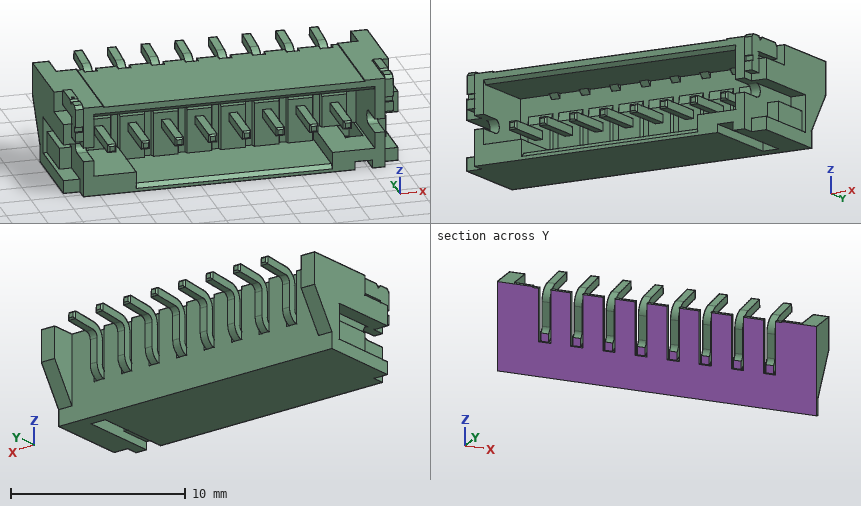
import cadquery as cq
import math


WIDTH = 19.9
BODY_DEPTH = 5.99
BODY_TOP = 5.41
SHOULDER_TOP = 5.47
SHOULDER_INNER_X = 7.76
WALL_OUTER_X = 8.97
WALL_INNER_X = 8.35

BACK_WALL_Y = 4.2
CEILING_Z = 4.8
FLOOR_Z = 0.44
LEDGE_Z = 1.21
LEDGE_INNER_X = 5.83
LIP_CHAMFER = 0.24

WING_FRONT_Y = 0.8
WING_BACK_Y = 7.6
WING_SLOPE_TOP_Z = 3.46
WING_SLOPE_BOTTOM_Z = 1.03
WINDOW_BACK_Y = 5.27
WINDOW_BOTTOM_Z = 0.8
WINDOW_TOP_Z = 3.0
PAD_FRONT_Y = 2.59
PAD_TOP_Z = 2.09
PAD_OUTER_X = 9.71
TAB_SEAT_Z = 4.25
LATCH_SLOT_BOTTOM_Z = 2.17
LATCH_SLOT_END_Y = 1.8

PIN_COUNT = 8
PIN_ROW_SPAN = 14.0
PITCH = PIN_ROW_SPAN / (PIN_COUNT - 1)
PIN_SIZE = 0.5
PIN_Z = 2.4
PIN_FRONT_Y = 0.94
PIN_REAR_Y = 8.62
PIN_TIP_CHAMFER = 0.1
PIN_INNER_BEND = 0.4
FOOT_TILT = 5.0
FOOT_TIP_TOP_Z = 5.6

BOSS_WIDTH = 1.61
BOSS_TOP_Z = 3.66
BOSS_DEPTH = 0.22
BOSS_SIDE_INSET = 0.08
BOSS_TOP_DROP = 0.55
GUSSET_WIDTH = 0.55
GUSSET_LEG = 0.3
PIN_SLOT_WIDTH = 0.74
PIN_SLOT_DEPTH = 0.4

KEY_INNER_X = 7.18
KEY_OUTER_X = 8.22
KEY_GROOVE_HEIGHT = 0.5
KEY_OPENING_FRONT_Y = 2.09
KEY_BACK_Y = 5.17

TAB_OUTER_X = 9.45
TAB_BACK_Y = 2.89
TAB_TOP_Z = 5.61
TAB_ARM_BOTTOM_Z = 4.68
TAB_LEG_BOTTOM_Z = 3.42
TAB_LEG_DEPTH = WING_FRONT_Y
TAB_CHAMFER = 0.2
TAB_VEE_Y = 1.0
TAB_VEE_DEPTH = 0.2
TAB_GROOVE_BOTTOM_Z = 4.0
TAB_GROOVE_TOP_Z = 4.32
TAB_GROOVE_DEPTH = 0.14
TAB_PIT_Y = 1.45
TAB_PIT_SIZE = 0.14
TAB_PIT_DEPTH = 0.1

pin_xs = [(i - (PIN_COUNT - 1) / 2) * PITCH for i in range(PIN_COUNT)]
gap_xs = [x + PITCH / 2 for x in pin_xs[:-1]]


def block(x0, x1, y0, y1, z0, z1):
    """Box between two opposite corners."""
    return cq.Workplane("XY").box(x1 - x0, y1 - y0, z1 - z0, centered=False).translate((x0, y0, z0))


def side_prism(points, x0, x1):
    """Outline of (y, z) points extruded from x0 to x1."""
    return cq.Workplane("YZ", origin=(x0, 0, 0)).polyline(points).close().extrude(x1 - x0)


def mirrored(solid):
    """The shape of the -X end together with its copy at the +X end."""
    return solid.union(solid.mirror("YZ"))


def shell():
    """Main block with its raised shoulders."""
    body = block(-WALL_OUTER_X, WALL_OUTER_X, 0, BODY_DEPTH, 0, BODY_TOP)
    shoulder = block(-WALL_OUTER_X, -SHOULDER_INNER_X, 0, BODY_DEPTH, 0, SHOULDER_TOP)
    return body.union(mirrored(shoulder))


def left_wing():
    """End wing with its window, pad and the step under the solder tab."""
    outline = [
        (WING_FRONT_Y, 0),
        (BODY_DEPTH, 0),
        (BODY_DEPTH, WING_SLOPE_BOTTOM_Z),
        (WING_BACK_Y, WING_SLOPE_TOP_Z),
        (WING_BACK_Y, SHOULDER_TOP),
        (TAB_BACK_Y, SHOULDER_TOP),
        (TAB_BACK_Y, TAB_SEAT_Z),
        (WING_FRONT_Y, TAB_SEAT_Z),
    ]
    outer = -WIDTH / 2
    wing = side_prism(outline, outer, -WALL_OUTER_X)
    window = block(outer, -WALL_OUTER_X, WING_FRONT_Y, WINDOW_BACK_Y, WINDOW_BOTTOM_Z, WINDOW_TOP_Z)
    pad = block(-PAD_OUTER_X, -WALL_OUTER_X, PAD_FRONT_Y, WINDOW_BACK_Y, WINDOW_BOTTOM_Z, PAD_TOP_Z)
    return wing.cut(window).union(pad)


def mouth():
    """Cavity open to the front, deeper between the two ledges."""
    upper = [
        (0, LEDGE_Z),
        (BACK_WALL_Y, LEDGE_Z),
        (BACK_WALL_Y, CEILING_Z),
        (LIP_CHAMFER, CEILING_Z),
        (0, CEILING_Z + LIP_CHAMFER),
    ]
    lower = [
        (0, FLOOR_Z - LIP_CHAMFER),
        (LIP_CHAMFER, FLOOR_Z),
        (BACK_WALL_Y, FLOOR_Z),
        (BACK_WALL_Y, LEDGE_Z),
        (0, LEDGE_Z),
    ]
    channel = side_prism(lower, -LEDGE_INNER_X, LEDGE_INNER_X)
    return side_prism(upper, -WALL_INNER_X, WALL_INNER_X).union(channel)


def left_latch_slot():
    """Round-ended slot through the side wall, open to the front."""
    radius = (WINDOW_TOP_Z - LATCH_SLOT_BOTTOM_Z) / 2
    arc_y = LATCH_SLOT_END_Y - radius
    return (
        cq.Workplane("YZ", origin=(-WALL_OUTER_X, 0, 0))
        .moveTo(0, LATCH_SLOT_BOTTOM_Z)
        .lineTo(arc_y, LATCH_SLOT_BOTTOM_Z)
        .threePointArc((LATCH_SLOT_END_Y, LATCH_SLOT_BOTTOM_Z + radius), (arc_y, WINDOW_TOP_Z))
        .lineTo(0, WINDOW_TOP_Z)
        .close()
        .extrude(WALL_OUTER_X - WALL_INNER_X)
    )


def boss(x):
    """Drafted boss on the back wall around one pin."""
    half = BOSS_WIDTH / 2
    front_y = BACK_WALL_Y - BOSS_DEPTH
    side = [
        (BACK_WALL_Y, FLOOR_Z),
        (front_y, FLOOR_Z),
        (front_y, BOSS_TOP_Z - BOSS_TOP_DROP),
        (BACK_WALL_Y, BOSS_TOP_Z),
    ]
    plan = [
        (x - half, BACK_WALL_Y),
        (x - half + BOSS_SIDE_INSET, front_y),
        (x + half - BOSS_SIDE_INSET, front_y),
        (x + half, BACK_WALL_Y),
    ]
    column = cq.Workplane("XY").polyline(plan).close().extrude(BOSS_TOP_Z)
    return side_prism(side, x - half, x + half).intersect(column)


def gusset(x):
    """Small 45-degree gusset between ceiling and back wall."""
    corner = [
        (BACK_WALL_Y, CEILING_Z),
        (BACK_WALL_Y - GUSSET_LEG, CEILING_Z),
        (BACK_WALL_Y, CEILING_Z - GUSSET_LEG),
    ]
    return side_prism(corner, x - GUSSET_WIDTH / 2, x + GUSSET_WIDTH / 2)


def pin_slot(x):
    """Slot in the back face that clears the lower bend of one pin."""
    half = PIN_SLOT_WIDTH / 2
    floor_z = PIN_Z - PIN_SIZE / 2
    return block(x - half, x + half, BODY_DEPTH - PIN_SLOT_DEPTH, BODY_DEPTH, floor_z, BODY_TOP)


def pin(x):
    """Square pin: contact, bend up behind the body, bend back into a tilted foot."""
    half = PIN_SIZE / 2
    bend = PIN_INNER_BEND + half
    tilt = math.radians(FOOT_TILT)
    tilt_cos = math.cos(tilt)
    tilt_sin = math.sin(tilt)
    leg_y = BODY_DEPTH + half
    tip_y = PIN_REAR_Y - (half - PIN_TIP_CHAMFER) * tilt_sin
    tip_z = FOOT_TIP_TOP_Z - half * tilt_cos + PIN_TIP_CHAMFER * tilt_sin
    foot_y = leg_y + bend * (1 - tilt_sin)
    foot_z = tip_z - (tip_y - foot_y) * math.tan(tilt)
    leg_top_z = foot_z - bend * tilt_cos
    path = (
        cq.Workplane("YZ", origin=(x, 0, 0))
        .moveTo(PIN_FRONT_Y, PIN_Z)
        .lineTo(leg_y - bend, PIN_Z)
        .tangentArcPoint((leg_y, PIN_Z + bend), relative=False)
        .lineTo(leg_y, leg_top_z)
        .tangentArcPoint((foot_y, foot_z), relative=False)
        .lineTo(tip_y, tip_z)
    )
    bar = cq.Workplane("XZ", origin=(x, PIN_FRONT_Y, PIN_Z)).rect(PIN_SIZE, PIN_SIZE).sweep(path)
    return bar.faces("<Y or >Y").edges().chamfer(PIN_TIP_CHAMFER)


def key_passage():
    """Groove under the +X ledge that leads to an opening up through the ledge."""
    outline = [
        (0, 0),
        (KEY_BACK_Y, 0),
        (KEY_BACK_Y, LEDGE_Z),
        (KEY_OPENING_FRONT_Y, LEDGE_Z),
        (KEY_OPENING_FRONT_Y, KEY_GROOVE_HEIGHT),
        (0, KEY_GROOVE_HEIGHT),
    ]
    return side_prism(outline, KEY_INNER_X, KEY_OUTER_X)


def make_housing():
    body = shell().union(mirrored(left_wing()))
    body = body.cut(mouth()).cut(mirrored(left_latch_slot()))
    for x in gap_xs:
        body = body.union(gusset(x))
    for x in pin_xs:
        body = body.union(boss(x)).cut(pin_slot(x)).union(pin(x))
    return body.cut(key_passage())


def make_left_tab():
    """L-shaped tab: arm on the side wall, leg down along the front edge."""
    outline = [
        (0, TAB_LEG_BOTTOM_Z),
        (0, TAB_GROOVE_BOTTOM_Z),
        (TAB_GROOVE_DEPTH, TAB_GROOVE_BOTTOM_Z),
        (TAB_GROOVE_DEPTH, TAB_GROOVE_TOP_Z),
        (0, TAB_GROOVE_TOP_Z),
        (0, TAB_TOP_Z - TAB_CHAMFER),
        (TAB_CHAMFER, TAB_TOP_Z),
        (TAB_VEE_Y - TAB_VEE_DEPTH, TAB_TOP_Z),
        (TAB_VEE_Y, TAB_TOP_Z - TAB_VEE_DEPTH),
        (TAB_VEE_Y + TAB_VEE_DEPTH, TAB_TOP_Z),
        (TAB_BACK_Y - TAB_CHAMFER, TAB_TOP_Z),
        (TAB_BACK_Y, TAB_TOP_Z - TAB_CHAMFER),
        (TAB_BACK_Y, TAB_ARM_BOTTOM_Z),
        (TAB_LEG_DEPTH, TAB_ARM_BOTTOM_Z),
        (TAB_LEG_DEPTH, TAB_LEG_BOTTOM_Z),
    ]
    return side_prism(outline, -TAB_OUTER_X, -WALL_OUTER_X)


def tab_pit():
    """Tiny square mark sunk into the top of the -X tab."""
    tab_x = -(TAB_OUTER_X + WALL_OUTER_X) / 2
    half = TAB_PIT_SIZE / 2
    floor_z = TAB_TOP_Z - TAB_PIT_DEPTH
    return block(tab_x - half, tab_x + half, TAB_PIT_Y - half, TAB_PIT_Y + half, floor_z, TAB_TOP_Z)


housing = make_housing()
plain_tab = make_left_tab()
left_tab = plain_tab.cut(tab_pit())
right_tab = plain_tab.mirror("YZ")

result = cq.Compound.makeCompound([
    housing.solids().val(),
    left_tab.solids().val(),
    right_tab.solids().val(),
])